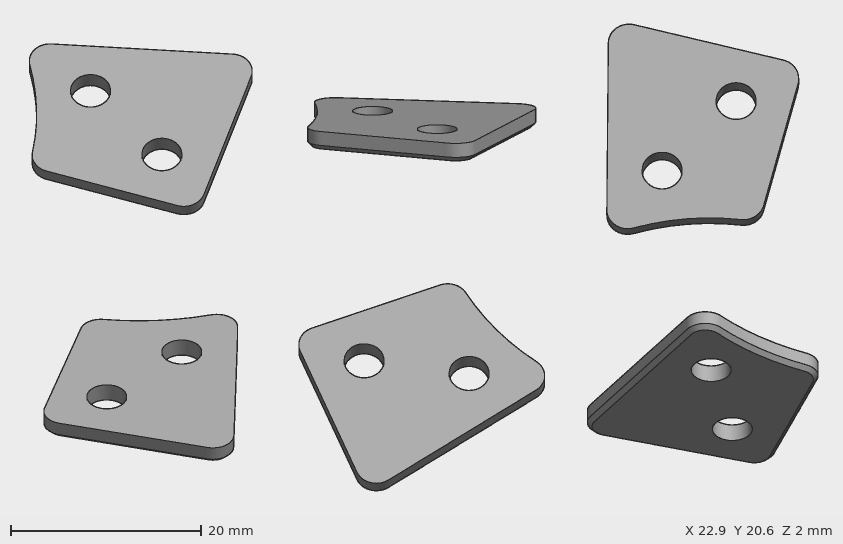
import cadquery as cq
import math

thickness = 2.0
depth = 20.55
corner_radius = 2.2
top_slope = 0.25

arc_center_x = -46.6
arc_center_y = -1.85
arc_radius = 28.0

hole_diameter = 4.2
hole_centers = [(-15.48, 11.33), (-5.8, 5.8)]

bevel_size = 0.5

slope_length = math.hypot(1, top_slope)
right_height = depth - corner_radius + corner_radius * (slope_length + top_slope)


def point_on_arc(angle):
    """Point of the concave side at an angle, in radians from +X."""
    return (
        arc_center_x + arc_radius * math.cos(angle),
        arc_center_y + arc_radius * math.sin(angle),
    )


def outline_solid():
    """Plate with sharp corners, bounded by three straight sides and the concave arc."""
    front_angle = math.asin(-arc_center_y / arc_radius)
    edge_distance = (right_height + top_slope * arc_center_x - arc_center_y) / slope_length
    back_angle = math.atan(top_slope) + math.asin(edge_distance / arc_radius)
    middle_angle = (front_angle + back_angle) / 2
    return (
        cq.Workplane("XY")
        .moveTo(0, 0)
        .lineTo(0, right_height)
        .lineTo(*point_on_arc(back_angle))
        .threePointArc(point_on_arc(middle_angle), point_on_arc(front_angle))
        .close()
        .extrude(thickness)
    )


def bevel_bottom(plate):
    """Bevel the whole bottom rim."""
    rim = plate.faces("<Z").edges().vals()
    beveled = plate.val().chamfer(bevel_size, None, rim)
    return cq.Workplane("XY").newObject([beveled])


def drill_holes(plate):
    """Cut the plain through holes."""
    drills = (
        cq.Workplane("XY")
        .pushPoints(hole_centers)
        .circle(hole_diameter / 2)
        .extrude(thickness)
    )
    return plate.cut(drills)


rounded_plate = outline_solid().edges("|Z").fillet(corner_radius)
result = drill_holes(bevel_bottom(rounded_plate))